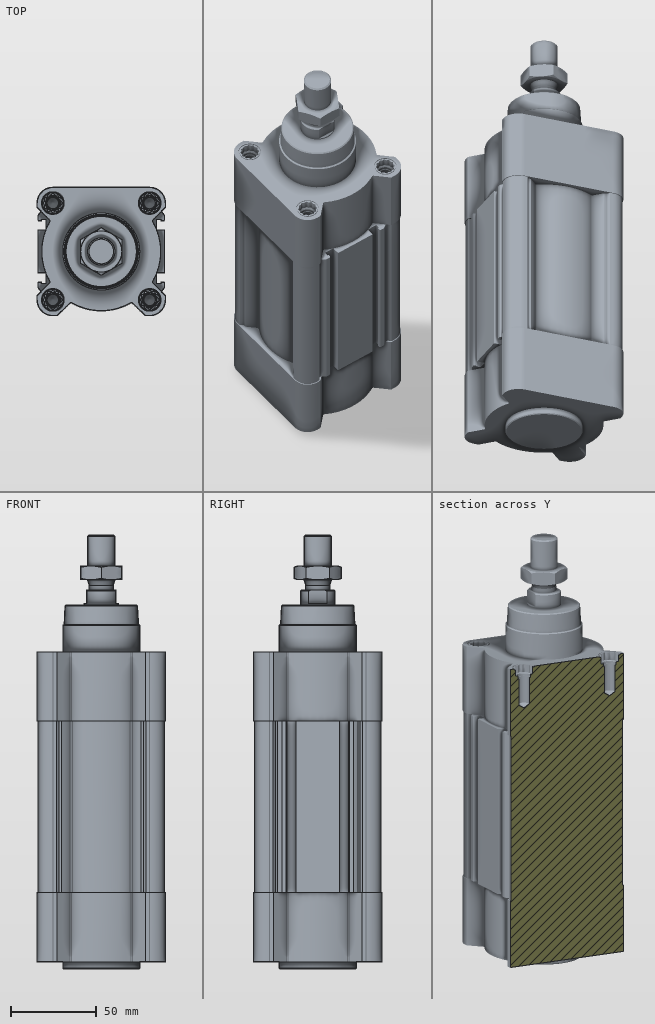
import cadquery as cq
import math


tail_length = 4.0
cap_length = 40.5
barrel_length = 100.0
collar_length = 15.4
collar_step_height = 0.6
collar_height = 27.4
shoulder_height = 36.1
thread_length = 32.0

barrel_start = cap_length
front_cap_start = barrel_start + barrel_length
front_face = front_cap_start + cap_length
collar_top = front_face + collar_height
shoulder_z = front_face + shoulder_height
rod_end = shoulder_z + thread_length

cap_width = 75.0
lug_pitch = 56.5
lug_half_neck = 8.35
cap_body_radius = 34.7
cap_fillet = 0.8

barrel_width = 74.0
barrel_body_radius = 34.5
barrel_fillet = 1.2
groove_floor = 35.1
groove_start = 26.2
groove_floor_start = 24.7
groove_floor_end = 23.2
barrel_flank = groove_floor - groove_floor_end
lip_root = 23.6
lip_back = 20.9
lip_chamfer = 0.5
rail_half_width = 12.55
slot_lip = 17.9
slot_inner = 18.6
slot_floor = 32.3
slot_neck = 34.9

guide_diameter = 45.0
guide_chamfer = 0.5
collar_top_radius = 21.1
collar_top_chamfer = 0.6
collar_mid_radius = 21.5
collar_upper_base_radius = 21.7

screw_recess_diameter = 13.2
screw_recess_depth = 0.6
screw_head_diameter = 12.0
socket_points = 12
socket_outer_diameter = 11.2
socket_inner_diameter = 9.8
socket_depth = 4.5
thread_mouth_diameter = 8.8
screw_thread_diameter = 8.0
screw_thread_length = 1.5
thread_hole_diameter = 6.65
thread_hole_depth = 18.0
thread_mouth_depth = (thread_mouth_diameter - screw_thread_diameter) / 2
drill_tip_slope = math.radians(31)
drill_tip_depth = thread_hole_diameter / 2 * math.tan(drill_tip_slope)

rod_diameter = 20.0
rod_chamfer = 0.6
rod_flats = 17.0
flats_base_gap = 0.9
neck_diameter = 14.38
neck_length = 2.5
undercut_diameter = 13.9
undercut_length = 3.2
thread_diameter = 16.0
thread_chamfer = (thread_diameter - neck_diameter) / 2
nut_sides = 6
nut_flats = 24.0
nut_height = 8.0
nut_base_height = 42.1
nut_base = front_face + nut_base_height
nut_chamfer_rise = 0.8
nut_corner_radius = nut_flats / 2 / math.cos(math.pi / nut_sides)


def round_flank_corners(body, radius, flank, fillet):
    """Fillets the four upright edges where lug flanks on the lines |y| = |x| + flank meet a round body."""
    box = body.val().BoundingBox()
    mid_z = (box.zmin + box.zmax) / 2
    corner_x = (math.sqrt(2 * radius**2 - flank**2) - flank) / 2
    corner_y = corner_x + flank
    for x in (-corner_x, corner_x):
        for y in (-corner_y, corner_y):
            corner = cq.selectors.NearestToPointSelector((x, y, mid_z))
            body = body.edges(corner).fillet(fillet)
    return body


def cap(start_z):
    """End cap: round body, corner lugs and the flat side toward +Y."""
    half = cap_width / 2
    lug_center = lug_pitch / 2
    lug_radius = half - lug_center
    flank = lug_half_neck * math.sqrt(2)
    plane = cq.Workplane("XY", origin=(0, 0, start_z))
    body = plane.circle(cap_body_radius).extrude(cap_length)
    arc_mid = lug_center + lug_radius / math.sqrt(2)
    lug = (
        plane.moveTo(0, flank)
        .lineTo(half - flank, half)
        .lineTo(lug_center, half)
        .threePointArc((arc_mid, arc_mid), (half, lug_center))
        .lineTo(half, half - flank)
        .lineTo(flank, 0)
        .close()
        .extrude(cap_length)
    )
    for turn in range(4):
        body = body.union(lug.rotate((0, 0, 0), (0, 0, 1), 90 * turn))
    for turn in (0, 90):
        body = body.rotate((0, 0, 0), (0, 0, 1), turn)
        body = round_flank_corners(body, cap_body_radius, flank, cap_fillet)
    flat_side = plane.center(0, half / 2).rect(lug_pitch, half).extrude(cap_length)
    return body.union(flat_side)


def barrel():
    """Profiled barrel between the caps."""
    half = barrel_width / 2
    lug_center = lug_pitch / 2
    lug_radius = half - lug_center
    arc_mid = lug_center + lug_radius / math.sqrt(2)
    plane = cq.Workplane("XY", origin=(0, 0, barrel_start))
    body = plane.circle(barrel_body_radius).extrude(barrel_length)
    lug = (
        plane.moveTo(0, barrel_flank)
        .lineTo(groove_floor_end, groove_floor)
        .lineTo(groove_floor_start, groove_floor)
        .lineTo(groove_start, half)
        .lineTo(lug_center, half)
        .threePointArc((arc_mid, arc_mid), (half, lug_center))
        .lineTo(half, groove_start)
        .lineTo(groove_floor, groove_floor_start)
        .lineTo(groove_floor, lip_root)
        .lineTo(half, lip_back)
        .lineTo(half, slot_lip + lip_chamfer)
        .lineTo(half - lip_chamfer, slot_lip)
        .lineTo(slot_neck, slot_lip)
        .lineTo(slot_neck, slot_inner)
        .lineTo(slot_floor, slot_inner)
        .lineTo(slot_floor, 0)
        .lineTo(0, 0)
        .close()
        .extrude(barrel_length)
    )
    lug_pair = lug.union(lug.mirror("YZ"))
    body = body.union(lug_pair).union(lug_pair.mirror("XZ"))
    rail = plane.rect(barrel_width, 2 * rail_half_width).extrude(barrel_length)
    body = body.union(rail)
    return round_flank_corners(body, barrel_body_radius, barrel_flank, barrel_fillet)


def tail():
    """Centring spigot below the rear cap."""
    spigot = cq.Workplane("XY").circle(guide_diameter / 2).extrude(-tail_length)
    return spigot.faces("<Z").chamfer(guide_chamfer)


def collar():
    """Guide collar on the front cap, with a slightly bulged upper part."""
    radius = guide_diameter / 2
    step_z = front_face + collar_length
    upper_z = step_z + collar_step_height
    rim_z = collar_top - collar_top_chamfer
    return (
        cq.Workplane("XZ")
        .moveTo(0, front_face)
        .lineTo(radius, front_face)
        .lineTo(radius, step_z)
        .lineTo(collar_upper_base_radius, upper_z)
        .threePointArc((collar_mid_radius, (upper_z + rim_z) / 2), (collar_top_radius, rim_z))
        .lineTo(collar_top_radius - collar_top_chamfer, collar_top)
        .lineTo(0, collar_top)
        .close()
        .revolve(360, (0, 0, 0), (0, 1, 0))
    )


def star_socket(top):
    """Star-shaped socket prism reaching down from the given plane."""
    points = []
    for step in range(2 * socket_points):
        radius = (socket_inner_diameter if step % 2 else socket_outer_diameter) / 2
        angle = math.pi * step / socket_points
        points.append((radius * math.cos(angle), radius * math.sin(angle)))
    return top.polyline(points).close().extrude(-socket_depth)


def screw_cut():
    """Everything removed at one cap screw: ring recess, star socket and threaded hole with drill tip."""
    top = cq.Workplane("XY", origin=(0, 0, front_face))
    ring = (
        top.circle(screw_recess_diameter / 2)
        .circle(screw_head_diameter / 2)
        .extrude(-screw_recess_depth)
    )
    mouth_z = front_face - socket_depth
    thread_end = mouth_z - thread_mouth_depth - screw_thread_length
    hole_end = mouth_z - thread_hole_depth
    hole = (
        cq.Workplane("XZ")
        .moveTo(0, mouth_z)
        .lineTo(thread_mouth_diameter / 2, mouth_z)
        .lineTo(screw_thread_diameter / 2, mouth_z - thread_mouth_depth)
        .lineTo(screw_thread_diameter / 2, thread_end)
        .lineTo(thread_hole_diameter / 2, thread_end)
        .lineTo(thread_hole_diameter / 2, hole_end)
        .lineTo(0, hole_end - drill_tip_depth)
        .close()
        .revolve(360, (0, 0, 0), (0, 1, 0))
    )
    return ring.union(star_socket(top)).union(hole)


def make_housing():
    """Both caps, barrel, collar and tail as one solid with a blind bore in the collar for the rod."""
    body = cap(0).union(barrel()).union(cap(front_cap_start)).union(tail()).union(collar())
    for x in (-lug_pitch / 2, lug_pitch / 2):
        for y in (-lug_pitch / 2, lug_pitch / 2):
            body = body.cut(screw_cut().translate((x, y, 0)))
    bore = cq.Workplane("XY", origin=(0, 0, front_face)).circle(rod_diameter / 2).extrude(collar_height)
    return body.cut(bore)


def make_rod():
    """Piston rod: shank with two flats, undercut neck and plain thread cylinder."""
    shank = rod_diameter / 2
    neck = neck_diameter / 2
    undercut = undercut_diameter / 2
    thread = thread_diameter / 2
    neck_end = shoulder_z + neck_length
    body = (
        cq.Workplane("XZ")
        .moveTo(0, front_face)
        .lineTo(shank, front_face)
        .lineTo(shank, shoulder_z - rod_chamfer)
        .lineTo(shank - rod_chamfer, shoulder_z)
        .lineTo(neck, shoulder_z)
        .lineTo(neck, neck_end)
        .lineTo(undercut, neck_end)
        .lineTo(thread, neck_end + undercut_length)
        .lineTo(thread, rod_end - thread_chamfer)
        .lineTo(thread - thread_chamfer, rod_end)
        .lineTo(0, rod_end)
        .close()
        .revolve(360, (0, 0, 0), (0, 1, 0))
    )
    flats_base = collar_top + flats_base_gap
    flats_height = shoulder_z - flats_base
    for side in (-1, 1):
        cutter = (
            cq.Workplane("XY", origin=(side * rod_flats, 0, flats_base))
            .rect(rod_flats, rod_diameter)
            .extrude(flats_height)
        )
        body = body.cut(cutter)
    return body


def make_nut():
    """Hexagon nut with flats toward +X and -X and both faces chamfered at the corners."""
    plane = cq.Workplane("XY", origin=(0, 0, nut_base))
    hexagon = plane.polygon(nut_sides, 2 * nut_corner_radius).extrude(nut_height)
    hexagon = hexagon.rotate((0, 0, 0), (0, 0, 1), 180 / nut_sides)
    chamfer_run = nut_corner_radius - nut_flats / 2
    envelope = plane.circle(nut_corner_radius).extrude(nut_height)
    envelope = envelope.edges().chamfer(nut_chamfer_rise, chamfer_run)
    bore = plane.circle(thread_diameter / 2).extrude(nut_height)
    return hexagon.intersect(envelope).cut(bore)


housing = make_housing()
rod = make_rod()
nut = make_nut()

result = cq.Compound.makeCompound([housing.val(), rod.val(), nut.val()])